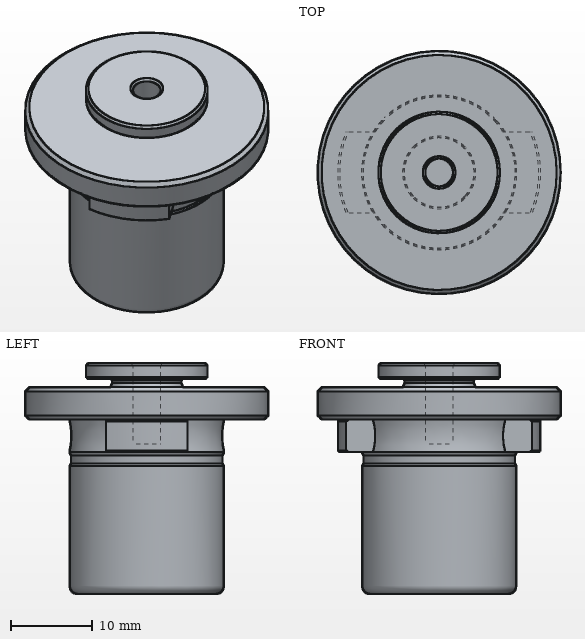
import cadquery as cq

body_top = 15.8
lug_bottom = 17.5
flange_bottom = 21.5
flange_top = 25.5
head_bottom = 26.5
head_top = 28.5

body_radius = 9.5
body_bottom_fillet = 1.0
groove_radius = 9.35
groove_shoulder_height = 0.3
groove_lip_height = 0.4

waist_end_radius = 9.57
waist_middle_radius = 9.33
waist_middle = (lug_bottom + flange_bottom) / 2

flange_radius = 15.0
flange_chamfer = 0.5
neck_bottom_radius = 4.5
neck_middle_radius = 4.3
neck_top_radius = 4.35
neck_bottom_flare_height = 0.5
neck_top_flare_height = 0.18
head_radius = 7.5
head_chamfer = 0.3

lug_radius = 12.5
lug_width = 10.0
lug_chamfer = 0.25

hole_radius = 1.7
hole_mouth_radius = 2.0
hole_depth = 10.0


def make_turned_body():
    """Revolve the half section of the body, waist, flange, neck and head."""
    section = (
        cq.Workplane("XZ")
        .lineTo(body_radius - body_bottom_fillet, 0)
        .radiusArc((body_radius, body_bottom_fillet), -body_bottom_fillet)
        .lineTo(body_radius, body_top)
        .lineTo(groove_radius, body_top + groove_shoulder_height)
        .lineTo(groove_radius, lug_bottom - groove_lip_height)
        .lineTo(waist_end_radius, lug_bottom)
        .threePointArc((waist_middle_radius, waist_middle), (waist_end_radius, flange_bottom))
        .lineTo(flange_radius - flange_chamfer, flange_bottom)
        .lineTo(flange_radius, flange_bottom + flange_chamfer)
        .lineTo(flange_radius, flange_top - flange_chamfer)
        .lineTo(flange_radius - flange_chamfer, flange_top)
        .lineTo(neck_bottom_radius, flange_top)
        .lineTo(neck_middle_radius, flange_top + neck_bottom_flare_height)
        .lineTo(neck_middle_radius, head_bottom - neck_top_flare_height)
        .lineTo(neck_top_radius, head_bottom)
        .lineTo(head_radius - head_chamfer, head_bottom)
        .lineTo(head_radius, head_bottom + head_chamfer)
        .lineTo(head_radius, head_top - head_chamfer)
        .lineTo(head_radius - head_chamfer, head_top)
        .lineTo(0, head_top)
        .close()
    )
    return section.revolve(360, (0, 0), (0, 1))


def make_lugs():
    """Cut a chamfered disc to a strip, leaving a lug at each end of X."""
    disc = (
        cq.Workplane("XZ")
        .moveTo(0, lug_bottom)
        .lineTo(lug_radius - lug_chamfer, lug_bottom)
        .lineTo(lug_radius, lug_bottom + lug_chamfer)
        .lineTo(lug_radius, flange_bottom - lug_chamfer)
        .lineTo(lug_radius - lug_chamfer, flange_bottom)
        .lineTo(0, flange_bottom)
        .close()
        .revolve(360, (0, 0), (0, 1))
    )
    strip = (
        cq.Workplane("XY", origin=(0, 0, lug_bottom))
        .rect(2 * lug_radius, lug_width)
        .extrude(flange_bottom - lug_bottom)
    )
    return disc.intersect(strip)


def make_hole():
    """Revolve the flat-bottomed hole with its 45 degree countersunk mouth."""
    mouth_depth = hole_mouth_radius - hole_radius
    return (
        cq.Workplane("XZ")
        .moveTo(0, head_top - hole_depth)
        .lineTo(hole_radius, head_top - hole_depth)
        .lineTo(hole_radius, head_top - mouth_depth)
        .lineTo(hole_mouth_radius, head_top)
        .lineTo(0, head_top)
        .close()
        .revolve(360, (0, 0), (0, 1))
    )


result = make_turned_body().union(make_lugs()).cut(make_hole())